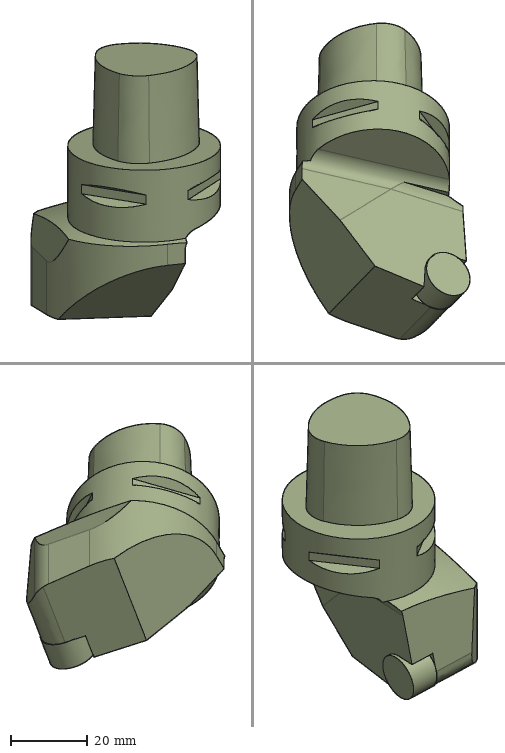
import cadquery as cq
import math

OVERALL_LENGTH = 48.45
OVERALL_WIDTH = 45.7
OVERALL_HEIGHT = 74.0
SHANK_HEIGHT = 24.05
FLANGE_DIAMETER = 40.0
FLANGE_HEIGHT = 19.9
BIG = 88.8

LOBE_RADIUS = 14.8
FLAT_RADIUS = 13.1
LOBE_OFFSET = (LOBE_RADIUS - FLAT_RADIUS) / (2 - math.sqrt(3))
LOBE_ARC_RADIUS = LOBE_RADIUS - LOBE_OFFSET
JOINT_TURN = math.radians(30)
SHANK_DRAFT = SHANK_HEIGHT / 40

NOTCH_COUNT = 4
NOTCH_Z = -8.15
NOTCH_DEPTH = 2.4
NOTCH_FLOOR_HEIGHT = 2.5
NOTCH_MOUTH_HEIGHT = 5.25

HEAD_Y_MIN = FLANGE_DIAMETER / 2 - OVERALL_WIDTH
HEAD_X_MAX = 21.45
HEAD_ARC_RADIUS = 25.1
CORNER_RADIUS = 6.9
CORNER_END_X = -15.45
BACK_Y = 4.2
SHOULDER_ANGLE = 15.0
FACET_Z = -30.3
FLANK_ANGLE = 7.0
SOLE_ANGLE = 7.0
TIP_RADIUS = 6.2
HEEL_Z = -26.1

LEAN = 0.11
INSERT_DIAMETER = 12.7
INSERT_THICKNESS = 8.0
INSERT_FACE_Y = 0.95
INSERT_AXIS = cq.Vector(-LEAN, 1, -LEAN)
INSERT_REACH = INSERT_DIAMETER / 2 * math.sqrt((1 + LEAN**2) / (1 + 2 * LEAN**2))
INSERT_CENTER = cq.Vector(
    HEAD_X_MAX - OVERALL_LENGTH + INSERT_REACH,
    INSERT_FACE_Y,
    SHANK_HEIGHT - OVERALL_HEIGHT + INSERT_REACH,
)
INSERT_PROUD = 0.95

RELIEF_EDGE_Z = -15.9
RELIEF_ANGLE = 10.0
RELIEF_RADIUS = 4.6


def tangent(degrees):
    return math.tan(math.radians(degrees))


def polar(radius, degrees):
    angle = math.radians(degrees)
    return cq.Vector(radius * math.cos(angle), radius * math.sin(angle))


def shank_outline(z, inset):
    """Three lobe arcs and three flat arcs, moved inwards by inset."""
    across = (LOBE_ARC_RADIUS - inset) * math.sin(JOINT_TURN)
    along = LOBE_OFFSET + (LOBE_ARC_RADIUS - inset) * math.cos(JOINT_TURN)
    joint_radius = math.hypot(across, along)
    joint_angle = math.degrees(math.atan2(across, along))
    edges = []
    lift = cq.Vector(0, 0, z)
    for lobe in (90, 210, 330):
        arcs = (
            (lobe - joint_angle, lobe, lobe + joint_angle, LOBE_RADIUS),
            (lobe + joint_angle, lobe + 60, lobe + 120 - joint_angle, FLAT_RADIUS),
        )
        for start, middle, end, middle_radius in arcs:
            edges.append(
                cq.Edge.makeThreePointArc(
                    polar(joint_radius, start) + lift,
                    polar(middle_radius - inset, middle) + lift,
                    polar(joint_radius, end) + lift,
                )
            )
    return cq.Wire.assembleEdges(edges)


def make_shank():
    base = shank_outline(0, 0)
    top = shank_outline(SHANK_HEIGHT, SHANK_DRAFT)
    return cq.Workplane(cq.Solid.makeLoft([base, top], True))


def make_flange():
    flange = cq.Workplane("XY").circle(FLANGE_DIAMETER / 2).extrude(-FLANGE_HEIGHT)
    rim = FLANGE_DIAMETER / 2
    floor = rim - NOTCH_DEPTH
    half_floor = NOTCH_FLOOR_HEIGHT / 2
    half_mouth = NOTCH_MOUTH_HEIGHT / 2
    notch = (
        cq.Workplane("XZ", origin=(0, 0, NOTCH_Z))
        .polyline([(floor, -half_floor), (rim, -half_mouth), (rim, half_mouth), (floor, half_floor)])
        .close()
        .extrude(rim, both=True)
    )
    step = 360 / NOTCH_COUNT
    for index in range(NOTCH_COUNT):
        flange = flange.cut(notch.rotate((0, 0, 0), (0, 0, 1), step * (index + 0.5)))
    return flange


def head_plan():
    """Vertical prism: flat -Y side, cut corner and a large arc round to +X."""
    slant = math.sqrt(0.5)
    corner_x = CORNER_END_X - CORNER_RADIUS * slant
    corner_y = HEAD_Y_MIN + CORNER_RADIUS * (1 - slant)
    arc_x = HEAD_X_MAX - HEAD_ARC_RADIUS
    arc_y = HEAD_Y_MIN + HEAD_ARC_RADIUS
    far_x = -BIG / 2
    return (
        cq.Workplane("XY")
        .moveTo(arc_x, HEAD_Y_MIN)
        .threePointArc(
            (arc_x + HEAD_ARC_RADIUS * slant, arc_y - HEAD_ARC_RADIUS * slant), (HEAD_X_MAX, arc_y)
        )
        .lineTo(HEAD_X_MAX, FLANGE_DIAMETER / 2)
        .lineTo(far_x, FLANGE_DIAMETER / 2)
        .lineTo(far_x, corner_y + corner_x - far_x)
        .lineTo(corner_x, corner_y)
        .tangentArcPoint((CORNER_END_X, HEAD_Y_MIN), relative=False)
        .close()
        .extrude(-BIG)
    )


def tip_prism():
    """Flank, round tip and sole, swept along the leaning insert axis."""
    flank = math.radians(FLANK_ANGLE)
    sole = math.radians(SOLE_ANGLE)
    middle = 1.25 * math.pi + (sole - flank) / 2
    x, z = INSERT_CENTER.x, INSERT_CENTER.z
    flank_x = x - TIP_RADIUS * math.cos(flank)
    flank_z = z + TIP_RADIUS * math.sin(flank)
    sole_x = x + TIP_RADIUS * math.sin(sole)
    sole_z = z - TIP_RADIUS * math.cos(sole)
    outline = (
        cq.Workplane("XZ", origin=(0, INSERT_CENTER.y, 0))
        .moveTo(sole_x, sole_z)
        .lineTo(sole_x + BIG, sole_z + BIG * math.tan(sole))
        .lineTo(sole_x + BIG, BIG)
        .lineTo(flank_x + (BIG - flank_z) * math.tan(flank), BIG)
        .lineTo(flank_x, flank_z)
        .threePointArc(
            (x + TIP_RADIUS * math.cos(middle), z + TIP_RADIUS * math.sin(middle)), (sole_x, sole_z)
        )
        .close()
    )
    face = cq.Face.makeFromWires(outline.val())
    start = face.moved(cq.Location(INSERT_AXIS * (BIG / 4)))
    return cq.Workplane(cq.Solid.extrudeLinear(start, INSERT_AXIS * -BIG))


def shoulder_cone():
    """Cone that widens downwards from the lower rim of the flange, on a tall cylinder."""
    rim = FLANGE_DIAMETER / 2
    drop = (BIG - rim) * tangent(SHOULDER_ANGLE)
    return (
        cq.Workplane("XZ")
        .polyline(
            [(0, -FLANGE_HEIGHT), (rim, -FLANGE_HEIGHT), (BIG, -FLANGE_HEIGHT - drop), (BIG, -BIG), (0, -BIG)]
        )
        .close()
        .revolve(360, (0, 0, 0), (0, 1, 0))
    )


def facet_cut():
    """Sloped facet between the shoulder and the flat -Y side."""
    return (
        cq.Workplane("YZ")
        .polyline(
            [(HEAD_Y_MIN, FACET_Z), (HEAD_Y_MIN - FACET_Z * tangent(SHOULDER_ANGLE), 0), (HEAD_Y_MIN, 0)]
        )
        .close()
        .extrude(BIG, both=True)
    )


def heel_cut():
    """45 degree heel on the +X side."""
    height = BIG + HEEL_Z
    return (
        cq.Workplane("XZ")
        .polyline([(HEAD_X_MAX, HEEL_Z), (HEAD_X_MAX, -BIG), (HEAD_X_MAX - height, -BIG)])
        .close()
        .extrude(BIG, both=True)
    )


def relief_corner_end():
    """Z of the lower end of the round corner under the flange."""
    corner_z = RELIEF_EDGE_Z - (FLANGE_DIAMETER / 2 - BACK_Y) * tangent(RELIEF_ANGLE)
    return corner_z - RELIEF_RADIUS * tangent(45 - RELIEF_ANGLE / 2)


def relief_cut(wall_y, wall_slope, sweep_slope, x_start, x_end):
    """Sloped ceiling, round corner and wall, swept from x_start to x_end.

    wall_y is the wall position at X = 0 and at the lower end of the round corner. wall_slope and
    sweep_slope are the changes of the wall's Y per unit of Z and of X.
    """
    ceiling = math.radians(RELIEF_ANGLE)
    wall = math.atan(wall_slope)
    arc_end_z = relief_corner_end()
    center_y = wall_y + RELIEF_RADIUS * math.cos(wall)
    center_z = arc_end_z - RELIEF_RADIUS * math.sin(wall)
    arc_y = center_y - RELIEF_RADIUS * math.sin(ceiling)
    arc_z = center_z + RELIEF_RADIUS * math.cos(ceiling)
    middle = (math.pi / 2 + ceiling + math.pi - wall) / 2
    shift = sweep_slope * x_start
    outline = (
        cq.Workplane("YZ", origin=(x_start, shift, 0))
        .moveTo(wall_y, arc_end_z)
        .lineTo(wall_y - (BIG + arc_end_z) * wall_slope, -BIG)
        .lineTo(BIG, -BIG)
        .lineTo(BIG, arc_z + (BIG - arc_y) * math.tan(ceiling))
        .lineTo(arc_y, arc_z)
        .threePointArc(
            (center_y + RELIEF_RADIUS * math.cos(middle), center_z + RELIEF_RADIUS * math.sin(middle)),
            (wall_y, arc_end_z),
        )
        .close()
    )
    length = x_end - x_start
    face = cq.Face.makeFromWires(outline.val())
    return cq.Workplane(cq.Solid.extrudeLinear(face, cq.Vector(length, sweep_slope * length, 0)))


def back_relief():
    """Upright wall at BACK_Y under the +Y half of the flange."""
    return relief_cut(BACK_Y, 0, 0, -BIG, BIG)


def rake_relief():
    """Rake face: square to the insert axis and INSERT_PROUD below the insert face."""
    wall_y = (
        INSERT_CENTER.y
        - INSERT_PROUD
        - LEAN * INSERT_CENTER.x
        + LEAN * (relief_corner_end() - INSERT_CENTER.z)
    )
    below_flange = cq.Workplane("XY", origin=(0, 0, -FLANGE_HEIGHT)).rect(2 * BIG, 2 * BIG).extrude(-BIG)
    return relief_cut(wall_y, LEAN, LEAN, -BIG / 2, BIG / 2).intersect(below_flange)


def insert_plane():
    return cq.Plane(INSERT_CENTER, xDir=(1, LEAN, 0), normal=INSERT_AXIS)


def pocket_cut():
    """Insert seat: round inner corner, open towards the flank, the sole and the rake face."""
    radius = INSERT_DIAMETER / 2
    height = INSERT_THICKNESS + BIG / 4
    floor = cq.Workplane(insert_plane()).workplane(offset=-INSERT_THICKNESS)
    seat = floor.circle(radius).extrude(height)
    for x, y in ((-radius, 0), (0, radius)):
        seat = seat.union(floor.center(x, y).rect(INSERT_DIAMETER, INSERT_DIAMETER).extrude(height))
    return seat


def make_holder():
    head = head_plan().intersect(tip_prism()).intersect(shoulder_cone())
    head = head.cut(facet_cut()).cut(heel_cut())
    body = make_flange().union(head).cut(back_relief()).cut(rake_relief()).cut(pocket_cut())
    return body.union(make_shank())


def make_insert():
    return cq.Workplane(insert_plane()).circle(INSERT_DIAMETER / 2).extrude(-INSERT_THICKNESS)


holder = make_holder()
insert = make_insert()
result = cq.Compound.makeCompound([holder.val(), insert.val()])